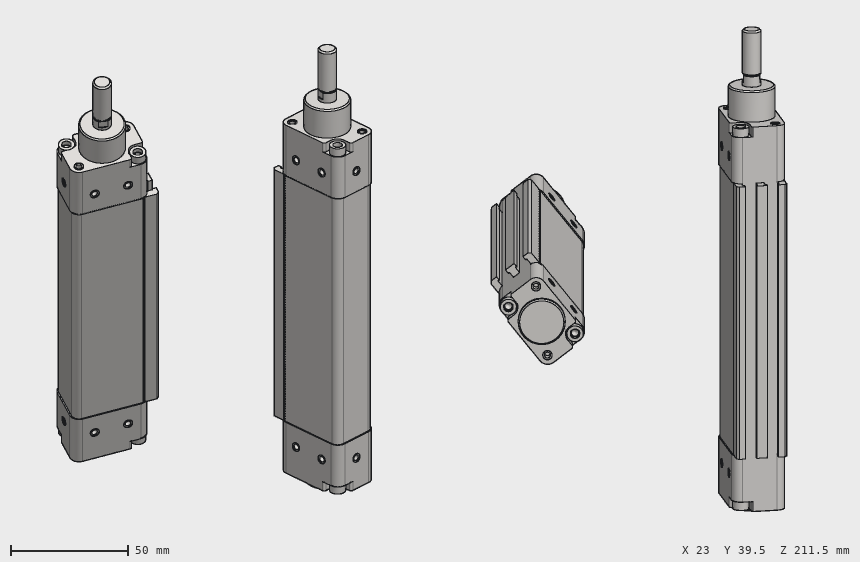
import cadquery as cq
import math


total_height = 211.5
rear_boss_height = 2.1
cap_height = 25.0
housing_top = 173.0
front_boss_top = 186.8
housing_bottom = rear_boss_height
profile_bottom = housing_bottom + cap_height
profile_top = housing_top - cap_height

cap_width = 23.0
cap_front_y = -17.5
cap_back_y = 17.3
front_corner_radius = 4.2
back_corner_radius = 4.0

profile_width = 22.0
profile_front_y = -17
profile_corner_radius = 3.4
rail_back_y = 22.0
rail_chamfer = 1.0
slot_floor_y = cap_back_y
slot_lip_height = 2.0
slot_mouth_inner_x = 2.3
slot_mouth_outer_x = 7.2
slot_undercut = 0.6
side_groove_y = 15.0
side_groove_width = 0.6
side_groove_depth = 0.5

boss_diameter = 20.0
boss_chamfer = 0.6

screw_x = 15.0 / 2
screw_y = 26.9 / 2
screw_head_diameter = 7.0
screw_head_recess = 0.6
socket_diameter = 4.0
socket_tip_diameter = 3.2
socket_depth = 2.1
drill_tip_angle = 118
pocket_radius = 8.0 / 2
pocket_depth = 4.5
pocket_edge_radius = 1.0

hole_diameter = 4.0
hole_core_diameter = 2.5
hole_depth = 4.2
hole_mouth_depth = 0.5
port_from_end = 15.0
side_port_y = 7.6

rod_diameter = 8.0
rod_tip_chamfer = 0.75
rod_bottom = housing_top
thread_length = 19.5
groove_width = 0.6
groove_diameter = 7.0
flat_top = total_height - thread_length - groove_width
flat_bottom = 188.2
flat_spacing = 7.0
flat_angle = -12.5


def box(x_range, y_range, z_range):
    """Box between two limits on each axis."""
    (x0, x1), (y0, y1), (z0, z1) = x_range, y_range, z_range
    return cq.Workplane("XY").box(x1 - x0, y1 - y0, z1 - z0, centered=False).translate((x0, y0, z0))


def cylinder(diameter, bottom, top, x=0, y=0):
    """Upright cylinder between two heights."""
    return cq.Workplane("XY", origin=(x, y, bottom)).circle(diameter / 2).extrude(top - bottom)


def end_cap(bottom):
    """Block with rounded upright corners."""
    block = box((-cap_width / 2, cap_width / 2), (cap_front_y, cap_back_y), (bottom, bottom + cap_height))
    block = block.edges("|Z and <Y").fillet(front_corner_radius)
    return block.edges("|Z and >Y").fillet(back_corner_radius)


def profile_tube():
    """Tube with two undercut sensor slots in its back and a fine groove along each side."""
    half_width = profile_width / 2
    heights = (profile_bottom, profile_top)
    tube = box((-half_width, half_width), (profile_front_y, rail_back_y), heights)
    tube = tube.edges("|Z and <Y").fillet(profile_corner_radius)
    tube = tube.edges("|Z and >Y").chamfer(rail_chamfer)

    mouth = box((slot_mouth_inner_x, slot_mouth_outer_x), (slot_floor_y, rail_back_y), heights)
    undercut = box(
        (slot_mouth_inner_x - slot_undercut, slot_mouth_outer_x + slot_undercut),
        (slot_floor_y, rail_back_y - slot_lip_height),
        heights,
    )
    slot = mouth.union(undercut)
    groove = box(
        (half_width - side_groove_depth, half_width),
        (side_groove_y - side_groove_width / 2, side_groove_y + side_groove_width / 2),
        heights,
    )
    for cutter in (slot, groove):
        tube = tube.cut(cutter).cut(cutter.mirror("YZ"))
    return tube


def drill(origin, direction):
    """Blind counterbored hole, entering the housing at origin along direction."""
    face = cq.Workplane(cq.Plane(origin=origin, normal=direction))
    core = face.circle(hole_core_diameter / 2).extrude(hole_depth)
    mouth = face.circle(hole_diameter / 2).extrude(hole_mouth_depth)
    return core.union(mouth)


def screw_pocket():
    """Corner pocket at the front left of the upper cap, open to the top, front and side."""
    inner_x = -screw_x + pocket_radius
    inner_y = -screw_y + pocket_radius
    side_x = -cap_width / 2
    r = pocket_edge_radius
    diagonal = math.sqrt(0.5)
    bend = pocket_radius * diagonal
    ease = r * (1 - diagonal)
    return (
        cq.Workplane("XY", origin=(0, 0, housing_top - pocket_depth))
        .moveTo(side_x, inner_y + r)
        .threePointArc((side_x + ease, inner_y + ease), (side_x + r, inner_y))
        .lineTo(-screw_x, inner_y)
        .threePointArc((-screw_x + bend, -screw_y + bend), (inner_x, -screw_y))
        .lineTo(inner_x, cap_front_y + r)
        .threePointArc((inner_x + ease, cap_front_y + ease), (inner_x + r, cap_front_y))
        .lineTo(side_x, cap_front_y)
        .close()
        .extrude(pocket_depth)
    )


def screw_head():
    """Cylindrical head with a stepped socket ending in a cone, standing in the pocket."""
    top = housing_top - screw_head_recess
    head = cylinder(screw_head_diameter, housing_top - pocket_depth, top, -screw_x, -screw_y)
    tip_radius = socket_tip_diameter / 2
    tip_height = tip_radius / math.tan(math.radians(drill_tip_angle / 2))
    tip_top = top - socket_depth
    tip = cq.Solid.makeCone(
        tip_radius, 0, tip_height, cq.Vector(-screw_x, -screw_y, tip_top), cq.Vector(0, 0, -1)
    )
    socket = cylinder(socket_diameter, tip_top, top, -screw_x, -screw_y)
    return head.cut(socket).cut(cq.Workplane(tip))


def at_all_screws(shape):
    """Copies of a front left upper shape at both diagonal corners of both caps."""
    middle = (housing_top + housing_bottom) / 2
    upper = [shape, shape.rotate((0, 0, 0), (0, 0, 1), 180)]
    lower = [copy.mirror("XY", (0, 0, middle)) for copy in upper]
    return upper + lower


def build_housing():
    """Profile tube with both caps, their bosses, screws and holes, and the rod bore."""
    body = profile_tube().union(end_cap(housing_bottom)).union(end_cap(profile_top))

    for pocket in at_all_screws(screw_pocket()):
        body = body.cut(pocket)
    for head in at_all_screws(screw_head()):
        body = body.union(head)

    front_boss = cylinder(boss_diameter, housing_top, front_boss_top).faces(">Z").chamfer(boss_chamfer)
    rear_boss = cylinder(boss_diameter, 0, housing_bottom).faces("<Z").chamfer(boss_chamfer)
    body = body.union(front_boss).union(rear_boss)

    for z, inward in ((housing_top, -1), (housing_bottom, 1)):
        for side in (-1, 1):
            body = body.cut(drill((side * screw_x, -side * screw_y, z), (0, 0, inward)))
        port_z = z + inward * port_from_end
        body = body.cut(drill((0, cap_front_y, port_z), (0, 1, 0)))
        for side in (-1, 1):
            for y in (-side_port_y, side_port_y):
                body = body.cut(drill((side * cap_width / 2, y, port_z), (-side, 0, 0)))

    return body.cut(cylinder(rod_diameter, rod_bottom, front_boss_top))


def build_rod():
    """Rod with a chamfered tip, a thread runout groove and two parallel wrench flats."""
    rod = cylinder(rod_diameter, rod_bottom, total_height).faces(">Z").chamfer(rod_tip_chamfer)
    ring = cylinder(rod_diameter, flat_top, flat_top + groove_width)
    rod = rod.cut(ring.cut(cylinder(groove_diameter, flat_top, flat_top + groove_width)))
    flat = box(
        (flat_spacing / 2, rod_diameter), (-rod_diameter, rod_diameter), (flat_bottom, flat_top)
    )
    for turn in (0, 180):
        rod = rod.cut(flat.rotate((0, 0, 0), (0, 0, 1), flat_angle + turn))
    return rod


housing = build_housing()
rod = build_rod()

result = cq.Compound.makeCompound([housing.val(), rod.val()])